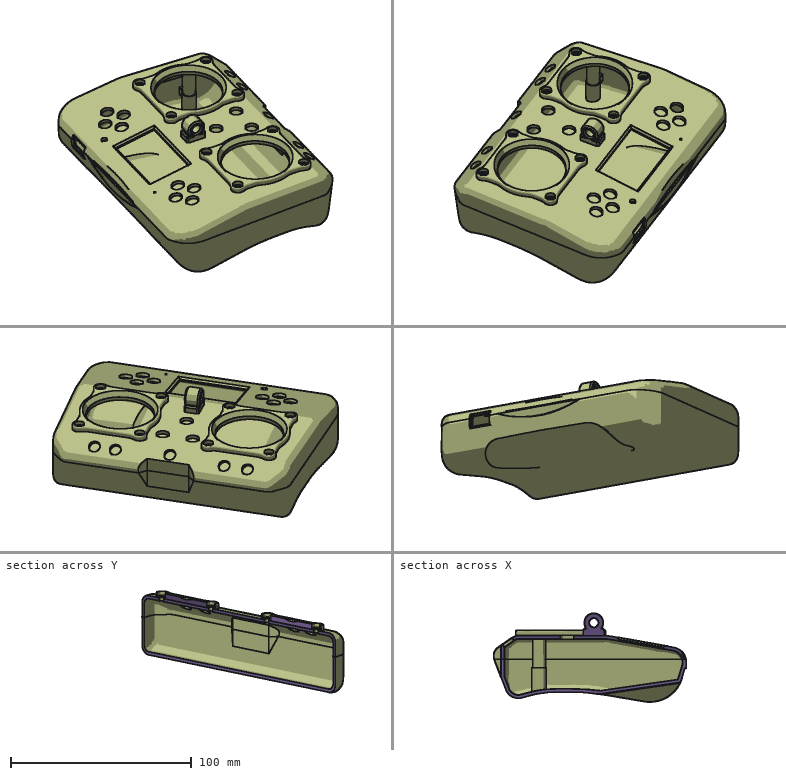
import cadquery as cq
import math


width = 144.2
depth = 106.7
deck_z = 13.1
wall = 2.0
edge_fillet = 5.0
inner_fillet = edge_fillet - wall

deck_front_y = 43.3
deck_back_y = 94.8
side_corners = [
    ((-2.2, 5.0), 8.4),
    ((deck_front_y, deck_z), 20.0),
    ((deck_back_y, deck_z), 5.0),
    ((107.9, 3.9), 5.8),
    ((97.5, -23.2), 7.5),
    ((79.3, -18.3), 57.7),
    ((53.5, -18.3), 119.7),
    ((6.9, -26.2), 18.7),
]
panel_slope = 10.0
back_slope = 35.0

back_half_width = 68.2
side_start_y = 17.0
front_corner_radius = 17.3
back_corner_y = 97.8
back_corner_radius = 7.5
back_cut_radius = 5.0
plan_margin = 0.7

button_diameter = 7.2
button_spacing_x = 8.1
button_spacing_y = 5.9
button_cross_x = 39.4
button_cross_y = 23.5
knob_holes = [(-8.7, 83.5), (8.7, 83.5), (0.0, 65.9)]
reset_hole = (-28.5, 10.8, 3.2)
led_hole = (28.0, 10.8, 1.0)
switch_diameter = 6.3
switch_y = 100.5
switch_xs = [-45.1, -31.7, 31.0, 43.0]
antenna_y = 99.1
screen_width = 41.1
screen_front_y = 11.7
screen_back_y = 38.2
screen_bevel = 1.2
notch_half_width = 12.0
notch_y = 102.5
notch_flare = 45.0
port_x = -39.5
port_width = 13.4
port_bottom = -5.3
port_top = 2.9
port_bevel = 1.0
port_recess = 1.5
port_reach = 8.7
thumb_half_length = 27.5
thumb_flat_depth = 1.2
thumb_crease_z = 0.7
thumb_top_y = 2.7
thumb_top_z = 4.9
thumb_lip_y = -0.07
thumb_lip_z = -5.2

relief_z = -12.4
relief_half_flat = 28.3
relief_sag = 0.3
relief_radius = 16.6
relief_slope = 8.2

bezel_x = 37.2
bezel_y = 69.5
bezel_height = 3.0
bezel_half_width = 20.2
bezel_half_length = 23.2
bulge_radius = 22.5
screw_pitch_x = 34.9
screw_pitch_y = 42.0
ear_radius = 3.9
gimbal_diameter = 38.0
gimbal_rim_diameter = 41.7
bezel_fillet = 1.0
bezel_blend = 8.7
screw_diameter = 3.0
screw_head_diameter = 5.5
screw_head_depth = 2.3

eyelet_width = 8.5
eyelet_y = 51.2
eyelet_z = 20.2
eyelet_base_length = 11.8
eyelet_base_height = 3.9
eyelet_neck_length = 8.7
eyelet_ring_diameter = 10.5
eyelet_hole_diameter = 5.0
eyelet_bevel = 0.9

post_x = 57.7
post_y = 81.5
post_joint_z = -4.6
lower_post_diameter = 8.0
upper_post_diameter = 7.2
rib_thickness = 2.0
rib_top = -6.8
rib_height = 4.6

hole_reach = 5.8
far = 2 * width


def tangent(angle):
    return math.tan(math.radians(angle))


def rounded_outline(plane, corners):
    """Closed outline through sharp corners, each (point, radius) rounded by a tangent arc."""
    arcs = []
    count = len(corners)
    for i, (point, radius) in enumerate(corners):
        corner = cq.Vector(*point)
        before = (cq.Vector(*corners[i - 1][0]) - corner).normalized()
        after = (cq.Vector(*corners[(i + 1) % count][0]) - corner).normalized()
        half_angle = before.getAngle(after) / 2
        setback = radius / math.tan(half_angle)
        bisector = (before + after).normalized()
        middle = corner + bisector * (radius / math.sin(half_angle) - radius)
        arcs.append([(p.x, p.y) for p in (corner + before * setback, middle, corner + after * setback)])
    outline = cq.Workplane(plane).moveTo(*arcs[0][0])
    for i, (start, middle, end) in enumerate(arcs):
        if i > 0:
            outline = outline.lineTo(*start)
        outline = outline.threePointArc(middle, end)
    return outline.close()


def side_block(inset):
    outline = rounded_outline("YZ", side_corners)
    if inset:
        outline = outline.offset2D(-inset)
    return outline.extrude(width, both=True)


def plan_block(inset):
    taper = (width / 2 - back_half_width) / (back_corner_y - side_start_y)
    front_half_width = width / 2 + taper * (side_start_y + plan_margin)
    back_y = depth + plan_margin
    cut_half_width = back_half_width - (back_y - back_corner_y)
    right = [
        ((front_half_width, -plan_margin), front_corner_radius),
        ((back_half_width, back_corner_y), back_corner_radius),
        ((cut_half_width, back_y), back_cut_radius),
    ]
    left = [((-x, y), radius) for (x, y), radius in reversed(right)]
    outline = rounded_outline("XY", right + left)
    if inset:
        outline = outline.offset2D(-inset)
    return outline.extrude(width, both=True)


def relief(clearance):
    """Round-shouldered channel that rises through the grip towards the front middle."""
    angle = math.radians(relief_slope)
    plane = cq.Plane(
        origin=(0, 0, relief_z + clearance),
        xDir=(1, 0, 0),
        normal=(0, math.cos(angle), -math.sin(angle)),
    )
    radius = relief_radius + clearance
    shoulder = relief_half_flat + radius
    diagonal = radius * math.sqrt(0.5)
    return (
        cq.Workplane(plane)
        .moveTo(-shoulder, depth)
        .lineTo(-shoulder, radius)
        .threePointArc((-relief_half_flat - diagonal, radius - diagonal), (-relief_half_flat, relief_sag))
        .threePointArc((0, 0), (relief_half_flat, relief_sag))
        .threePointArc((relief_half_flat + diagonal, radius - diagonal), (shoulder, radius))
        .lineTo(shoulder, depth)
        .close()
        .extrude(depth, both=True)
    )


def back_notch(clearance):
    """Notch in the back wall, with flaring sides."""
    half_width = notch_half_width + clearance * tangent(notch_flare / 2)
    front_y = notch_y - clearance
    flare = (depth + clearance - front_y) * tangent(notch_flare)
    return (
        cq.Workplane("XY")
        .polyline([
            (-half_width, front_y),
            (half_width, front_y),
            (half_width + flare, depth + clearance),
            (-half_width - flare, depth + clearance),
        ])
        .close()
        .extrude(width, both=True)
    )


def rounded_block(inset, fillet):
    block = side_block(inset).intersect(plan_block(inset)).edges("not (|X or |Z)").fillet(fillet)
    return block.cut(relief(inset)).cut(back_notch(inset))


outer = rounded_block(0, edge_fillet)
cavity = rounded_block(wall, inner_fillet)


def half_space(direction):
    center_z = direction * far / 2
    return cq.Workplane("XY").box(far, far, far).translate((0, 0, center_z))


upper_shell = outer.intersect(half_space(1)).cut(cavity)
lower_shell = outer.intersect(half_space(-1)).cut(cavity)


def round_bar(x, y, bottom, top, diameter):
    return cq.Workplane("XY", origin=(x, y, bottom)).circle(diameter / 2).extrude(top - bottom)


def closing_posts(bottom, top, diameter):
    posts = cq.Workplane("XY")
    for side in (-1, 1):
        posts = posts.add(round_bar(side * post_x, post_y, bottom, top, diameter))
    return posts.combine().intersect(outer)


def charging_port():
    def slot(bevel):
        slot_width = port_width - 2 * bevel
        slot_height = port_top - port_bottom - 2 * bevel
        center_z = (port_top + port_bottom) / 2
        return cq.Workplane("XZ", origin=(port_x, 0, center_z)).rect(slot_width, slot_height)

    recess = slot(0).extrude(-port_recess, both=True)
    return recess.union(slot(port_bevel).extrude(-port_reach))


def thumb_flat():
    """Shallow flat on the nose, turned about a distant upright axis behind the body."""
    radius = (thumb_half_length ** 2 + thumb_flat_depth ** 2) / (2 * thumb_flat_depth)
    return (
        cq.Workplane("XZ", origin=(0, thumb_flat_depth - radius, 0))
        .polyline([
            (radius, 0),
            (radius, thumb_crease_z),
            (radius + thumb_top_y - thumb_flat_depth, thumb_top_z),
            (radius - thumb_half_length, thumb_top_z),
            (radius - thumb_half_length, 0),
        ])
        .close()
        .revolve(360, (0, 0), (0, 1))
    )


def thumb_lip():
    """Lens-shaped lip that stands out of the slanted front wall below the parting plane."""
    lip = (
        cq.Workplane("XZ", origin=(0, thumb_lip_y, 0))
        .moveTo(-thumb_half_length, 0)
        .threePointArc((0, thumb_lip_z), (thumb_half_length, 0))
        .close()
        .extrude(-port_reach)
    )
    return lip.cut(cavity)


def make_lower_housing():
    lower_posts = closing_posts(-far, post_joint_z, lower_post_diameter)
    ribs = cq.Workplane("XY")
    for side in (-1, 1):
        rib = cq.Workplane("XY").box(width / 2 - post_x, rib_thickness, rib_height)
        ribs = ribs.add(rib.translate((side * (width / 2 + post_x) / 2, post_y, rib_top - rib_height / 2)))
    ribs = ribs.combine().intersect(outer)
    housing = lower_shell.union(thumb_lip()).cut(charging_port())
    return housing.union(lower_posts).union(ribs)


def sloping_plane(y, z, angle):
    tilt = math.radians(angle)
    return cq.Plane(origin=(0, y, z), xDir=(1, 0, 0), normal=(0, -math.sin(tilt), math.cos(tilt)))


def panel_plane(y):
    return sloping_plane(y, deck_z - (deck_front_y - y) * tangent(panel_slope), panel_slope)


def back_plane(y):
    return sloping_plane(y, deck_z - (y - deck_back_y) * tangent(back_slope), -back_slope)


def drill(plane, points, diameter):
    return cq.Workplane(plane).pushPoints(points).circle(diameter / 2).extrude(hole_reach, both=True)


def panel_holes():
    offsets = [(button_spacing_x, 0), (-button_spacing_x, 0), (0, button_spacing_y), (0, -button_spacing_y)]
    buttons = [(side * button_cross_x + dx, dy) for side in (-1, 1) for dx, dy in offsets]
    holes = drill(panel_plane(button_cross_y), buttons, button_diameter)
    for x, y, diameter in (reset_hole, led_hole):
        holes = holes.add(drill(panel_plane(y), [(x, 0)], diameter))
    return holes.combine()


def screen_window():
    height = (screen_back_y - screen_front_y) / math.cos(math.radians(panel_slope))
    plane = panel_plane((screen_back_y + screen_front_y) / 2)
    outer_size = (screen_width + 2 * screen_bevel, height + 2 * screen_bevel)
    inner_size = (screen_width - 2 * screen_bevel, height - 2 * screen_bevel)
    bevel = (
        cq.Workplane(plane).workplane(offset=screen_bevel).rect(*outer_size)
        .workplane(offset=-2 * screen_bevel).rect(*inner_size).loft()
    )
    return bevel.union(cq.Workplane(plane).rect(*inner_size).extrude(-hole_reach))


def deck_holes():
    deck = cq.Plane(origin=(0, 0, deck_z))
    holes = drill(deck, knob_holes, button_diameter)
    for side in (-1, 1):
        center = (side * bezel_x, bezel_y)
        holes = holes.add(drill(deck, [center], gimbal_diameter))
        holes = holes.add(drill(deck, screw_points(center), screw_diameter))
    return holes.combine()


def back_slope_holes():
    switches = drill(back_plane(switch_y), [(x, 0) for x in switch_xs], switch_diameter)
    return switches.union(drill(back_plane(antenna_y), [(0, 0)], switch_diameter))


def screw_points(center):
    x, y = center
    return [(x + sx * screw_pitch_x, y + sy * screw_pitch_y) for sx in (-0.5, 0.5) for sy in (-0.5, 0.5)]


def make_upper_housing():
    upper_posts = closing_posts(post_joint_z, far, upper_post_diameter)
    housing = upper_shell.union(upper_posts)
    cuts = (
        charging_port(), thumb_flat(), screen_window(), panel_holes(), deck_holes(), back_slope_holes(),
    )
    for cut in cuts:
        housing = housing.cut(cut)
    return housing


def make_gimbal_bezel(center_x):
    center = (center_x, bezel_y)
    base = cq.Workplane("XY", origin=(0, 0, deck_z))
    plate = base.center(*center).rect(2 * bezel_half_width, 2 * bezel_half_length).extrude(bezel_height)
    plate = plate.union(base.center(*center).circle(bulge_radius).extrude(bezel_height))
    plate = plate.union(base.pushPoints(screw_points(center)).circle(ear_radius).extrude(bezel_height))
    plate = plate.edges("|Z").fillet(bezel_blend)
    plate = plate.faces(">Z").edges().fillet(bezel_fillet)
    opening = (
        base.center(*center).circle(gimbal_diameter / 2)
        .workplane(offset=bezel_height).circle(gimbal_rim_diameter / 2).loft()
    )
    plate = plate.cut(opening)
    return (
        plate.faces(">Z").workplane(origin=(0, 0, deck_z + bezel_height)).pushPoints(screw_points(center))
        .cboreHole(screw_diameter, screw_head_diameter, screw_head_depth)
    )


def make_eyelet():
    side = cq.Workplane("YZ", origin=(0, eyelet_y, 0))
    base_z = deck_z + eyelet_base_height / 2
    base = side.center(0, base_z).rect(eyelet_base_length, eyelet_base_height)
    base = base.extrude(eyelet_width / 2, both=True)
    base = base.edges(">Z or |Z").chamfer(eyelet_bevel)
    neck_width = eyelet_width - 2 * eyelet_bevel
    neck = side.center(0, (deck_z + eyelet_z) / 2).rect(eyelet_neck_length, eyelet_z - deck_z)
    neck = neck.extrude(neck_width / 2, both=True)
    ring = side.center(0, eyelet_z).circle(eyelet_ring_diameter / 2).extrude(eyelet_width / 2, both=True)
    ring = ring.edges().chamfer(eyelet_bevel)
    hole = side.center(0, eyelet_z).circle(eyelet_hole_diameter / 2).extrude(eyelet_width, both=True)
    eyelet = base.union(neck).union(ring).cut(hole)
    for end in (">X", "<X"):
        mouth = eyelet.faces(end).edges(cq.selectors.RadiusNthSelector(0))
        eyelet = mouth.chamfer(eyelet_bevel)
    return eyelet


lower_housing = make_lower_housing()
upper_housing = make_upper_housing()
gimbal_bezels = [make_gimbal_bezel(side * bezel_x) for side in (-1, 1)]
eyelet = make_eyelet()

result = cq.Compound.makeCompound([
    lower_housing.val(),
    upper_housing.val(),
    *[bezel.val() for bezel in gimbal_bezels],
    eyelet.val(),
])